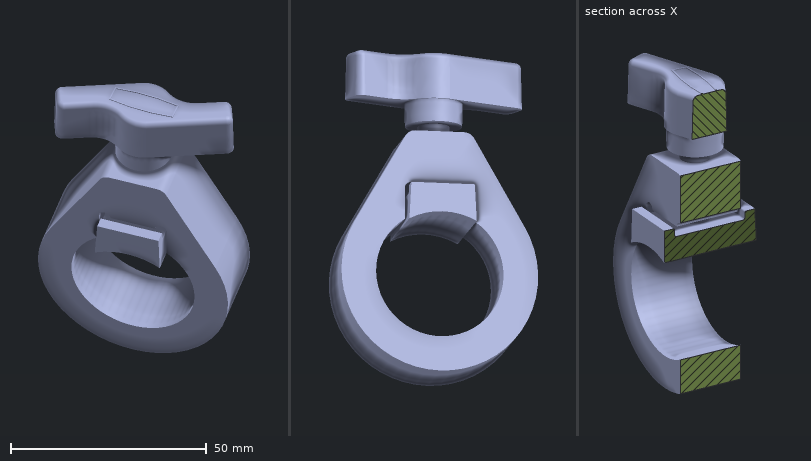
import cadquery as cq
import math


overall_height = 83.9

ring_radius = 25.5
bore_radius = 16.5
clamp_width = 18.1
clamp_top = 37.1
flank_angle = 60.0
top_corner_radius = 3.0

slot_half_width = 9.1
slot_top = 22.0
relief_radius = 1.5

insert_radius = 5.2
stud_radius = 4.0

pad_length = 27.5
pad_half_width = 8.7
pad_top = 22.5
pad_bottom = 12.9
pad_arch_top = 15.1
pad_draft = 3.0
pad_floor = 20.1
lip_thickness = 3.1
lip_edge_radius = 0.5

collar_bottom = 40.2
wing_bottom = 46.1
wing_top = 58.15
hub_radius = 8.0
collar_radius = 7.5
wing_reach = 22.6
wing_corner_radius = 2.0
wing_angle = 22.0
knob_draft = 1.4
wing_edge_radius = 1.5

frame_top = overall_height - ring_radius
frame_half_length = 8.7
frame_end_half_height = 2.2
frame_mid_half_height = 2.85
frame_wall = 0.3
frame_angle = -3.0


def y_extrusion(profile, length):
    """Extrude an XZ profile equally to both sides of the Y = 0 plane."""
    return profile.extrude(length / 2, both=True)


def z_cylinder(radius, bottom, top):
    return cq.Workplane("XY").workplane(offset=bottom).circle(radius).extrude(top - bottom)


def make_clamp():
    """Teardrop ring: straight flanks tangent to the round rim, and a flat top."""
    slope = math.radians(flank_angle)
    tangent_x = ring_radius * math.sin(slope)
    tangent_z = ring_radius * math.cos(slope)
    top_half_width = (ring_radius - clamp_top * math.cos(slope)) / math.sin(slope)
    outline = (
        cq.Workplane("XZ")
        .moveTo(tangent_x, tangent_z)
        .lineTo(top_half_width, clamp_top)
        .lineTo(-top_half_width, clamp_top)
        .lineTo(-tangent_x, tangent_z)
        .threePointArc((0, -ring_radius), (tangent_x, tangent_z))
        .close()
    )
    body = y_extrusion(outline, clamp_width)
    body = body.edges("|Y").edges(">Z").fillet(top_corner_radius)

    bore = y_extrusion(cq.Workplane("XZ").circle(bore_radius), clamp_width)
    slot = y_extrusion(
        cq.Workplane("XZ").moveTo(0, slot_top / 2).rect(2 * slot_half_width, slot_top), clamp_width
    )
    relief_x = slot_half_width - relief_radius
    reliefs = y_extrusion(
        cq.Workplane("XZ").pushPoints([(-relief_x, slot_top), (relief_x, slot_top)]).circle(relief_radius),
        clamp_width,
    )
    insert_hole = z_cylinder(insert_radius, slot_top, clamp_top)
    return body.cut(bore).cut(slot).cut(reliefs).cut(insert_hole)


def make_insert():
    """Sleeve around the stud, flush with the clamp top and the slot ceiling."""
    return z_cylinder(insert_radius, slot_top, clamp_top).cut(z_cylinder(stud_radius, slot_top, clamp_top))


def make_pad():
    """Arched pad with a lip at each end; both sides and the -Y end are drafted."""
    draft_inset = (pad_top - pad_bottom) * math.tan(math.radians(pad_draft))
    top_half_width = pad_half_width - draft_inset
    cross_section = (
        cq.Workplane("XZ")
        .moveTo(-pad_half_width, pad_bottom)
        .lineTo(-top_half_width, pad_top)
        .lineTo(top_half_width, pad_top)
        .lineTo(pad_half_width, pad_bottom)
        .threePointArc((0, pad_arch_top), (-pad_half_width, pad_bottom))
        .close()
    )
    block = y_extrusion(cross_section, pad_length)

    back_y = pad_length / 2
    front_top_y = -pad_length / 2 + draft_inset
    seat_front_y = front_top_y + lip_thickness
    seat_back_y = back_y - lip_thickness
    side_profile = (
        cq.Workplane("YZ")
        .moveTo(-pad_length / 2, pad_bottom)
        .lineTo(front_top_y, pad_top)
        .lineTo(seat_front_y, pad_top)
        .lineTo(seat_front_y, pad_floor)
        .lineTo(seat_back_y, pad_floor)
        .lineTo(seat_back_y, pad_top)
        .lineTo(back_y, pad_top)
        .lineTo(back_y, pad_bottom)
        .close()
    )
    side_prism = side_profile.extrude(pad_half_width, both=True)
    lip_edges = cq.selectors.BoxSelector(
        (-pad_half_width, seat_front_y - lip_edge_radius / 2, pad_floor - lip_edge_radius / 2),
        (pad_half_width, seat_back_y + lip_edge_radius / 2, pad_top + lip_edge_radius / 2),
    )
    side_prism = side_prism.edges("|X").edges(lip_edges).fillet(lip_edge_radius)
    return block.intersect(side_prism)


def make_wing():
    """Two-ended wing: each arm has one edge tangent to the hub and one running through its centre line."""
    blend_radius = hub_radius
    blend_x = math.sqrt((hub_radius + blend_radius) ** 2 - blend_radius ** 2)
    blend_angle = math.atan2(blend_radius, blend_x)
    join = (hub_radius * math.cos(blend_angle), hub_radius * math.sin(blend_angle))
    blend_mid_angle = (math.pi + blend_angle + 3 * math.pi / 2) / 2
    blend_mid = (
        blend_x + blend_radius * math.cos(blend_mid_angle),
        blend_radius * (1 + math.sin(blend_mid_angle)),
    )
    hub_mid_angle = (blend_angle + math.pi / 2) / 2
    hub_mid = (hub_radius * math.cos(hub_mid_angle), hub_radius * math.sin(hub_mid_angle))

    outline = cq.Workplane("XY").workplane(offset=wing_bottom).moveTo(0, -hub_radius)
    for side in (1, -1):
        outline = (
            outline.lineTo(side * (wing_reach - wing_corner_radius), -side * hub_radius)
            .radiusArc((side * wing_reach, -side * (hub_radius - wing_corner_radius)), -wing_corner_radius)
            .lineTo(side * wing_reach, -side * wing_corner_radius)
            .radiusArc((side * (wing_reach - wing_corner_radius), 0), -wing_corner_radius)
            .lineTo(side * blend_x, 0)
            .threePointArc((side * blend_mid[0], side * blend_mid[1]), (side * join[0], side * join[1]))
            .threePointArc((side * hub_mid[0], side * hub_mid[1]), (0, side * hub_radius))
        )
    wing = outline.close().extrude(wing_top - wing_bottom, taper=knob_draft)
    wing = wing.faces(">Z").edges().fillet(wing_edge_radius)
    return wing.rotate((0, 0, 0), (0, 0, 1), wing_angle)


def frame_prism(inset):
    """Plate with bowed long edges, its outline moved inwards by the inset."""
    half_length = frame_half_length - inset
    end_height = frame_end_half_height - inset
    mid_height = frame_mid_half_height - inset
    return (
        cq.Workplane("XY")
        .workplane(offset=wing_top)
        .moveTo(half_length, -end_height)
        .lineTo(half_length, end_height)
        .threePointArc((0, mid_height), (-half_length, end_height))
        .lineTo(-half_length, -end_height)
        .threePointArc((0, -mid_height), (half_length, -end_height))
        .close()
        .extrude(frame_top - wing_top)
    )


def make_knob():
    """Wing, tapered collar and stud in one piece; the stud bears on the pad's seat."""
    collar = (
        cq.Workplane("XY")
        .workplane(offset=wing_bottom)
        .circle(collar_radius)
        .extrude(collar_bottom - wing_bottom, taper=knob_draft)
    )
    stud = z_cylinder(stud_radius, pad_floor, wing_bottom)
    frame = frame_prism(0).cut(frame_prism(frame_wall)).rotate((0, 0, 0), (0, 0, 1), frame_angle)
    return make_wing().union(collar).union(stud).union(frame)


clamp = make_clamp()
insert = make_insert()
pad = make_pad()
knob = make_knob()

result = cq.Compound.makeCompound([clamp.val(), insert.val(), pad.val(), knob.val()])